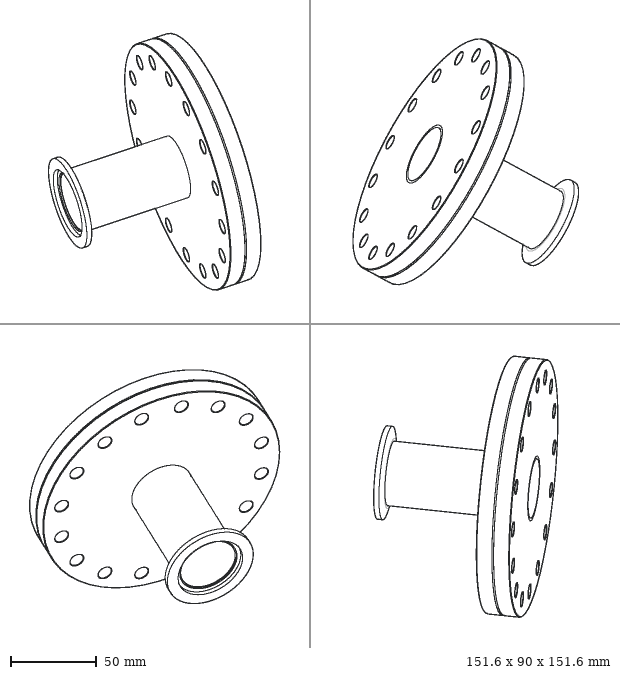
import cadquery as cq

flange_diameter = 151.6
flange_thickness = 19.9
rim_chamfer = 0.5
groove_width = 1.0
groove_depth = 0.2

bolt_count = 16
bolt_circle_diameter = 130.2
bolt_hole_diameter = 8.3
bolt_hole_chamfer = 0.3

tube_outer_diameter = 38.0
tube_inner_diameter = 34.9

overall_length = 90.0
clamp_diameter = 55.0
clamp_neck_diameter = 41.2
clamp_rim_thickness = 3.2
clamp_thickness = 5.2
clamp_bore_diameter = 36.4
clamp_recess_diameter = 41.2
clamp_recess_depth = 2.6
clamp_lip_thickness = 0.9

flange_front = -flange_thickness
clamp_front = -overall_length
clamp_back = clamp_front + clamp_thickness
recess_floor = clamp_front + clamp_recess_depth
tube_end = recess_floor + clamp_lip_thickness


def cylinder(diameter, y_start, y_end):
    """Solid cylinder on the Y axis between two Y positions."""
    length = y_start - y_end
    return cq.Workplane("XZ", origin=(0, y_start, 0)).circle(diameter / 2).extrude(length)


def make_bolt_hole_tools():
    """Cutters for the ring of bolt holes, widened by a chamfer at both flange faces."""
    radius = bolt_hole_diameter / 2
    mouth_radius = radius + bolt_hole_chamfer
    profile = [
        (0, 0),
        (mouth_radius, 0),
        (radius, -bolt_hole_chamfer),
        (radius, flange_front + bolt_hole_chamfer),
        (mouth_radius, flange_front),
        (0, flange_front),
    ]
    cutter = cq.Workplane("XY").polyline(profile).close().revolve(360, (0, 0, 0), (0, 1, 0)).val()
    cutter = cutter.translate(cq.Vector(bolt_circle_diameter / 2, 0, 0))
    pitch_angle = 360 / bolt_count
    cutters = []
    for index in range(bolt_count):
        angle = (index + 0.5) * pitch_angle
        cutters.append(cutter.rotate(cq.Vector(0, 0, 0), cq.Vector(0, 1, 0), angle))
    return cq.Workplane("XY").newObject(cutters).combine()


def make_main_flange():
    """Chamfered disc with a rim groove, a bolt circle and a through hole for the tube."""
    disc = cylinder(flange_diameter, 0, flange_front).edges().chamfer(rim_chamfer)

    groove_start = -(flange_thickness - groove_width) / 2
    groove_end = groove_start - groove_width
    groove_floor_diameter = flange_diameter - 2 * groove_depth
    groove_core = cylinder(groove_floor_diameter, groove_start, groove_end)
    groove_ring = cylinder(flange_diameter, groove_start, groove_end).cut(groove_core)

    bolt_holes = make_bolt_hole_tools()
    drilled = disc.cut(groove_ring).cut(bolt_holes)
    return drilled.cut(cylinder(tube_outer_diameter, 0, flange_front))


def make_tube():
    """Straight tube from the main flange's back face to the lip inside the clamp flange."""
    outside = cylinder(tube_outer_diameter, 0, tube_end)
    return outside.cut(cylinder(tube_inner_diameter, 0, tube_end))


def make_clamp_flange():
    """Flange with a tapered back: a socket behind for the tube, a thin lip and a recess in front."""
    rim_back = clamp_front + clamp_rim_thickness
    profile = [
        (tube_outer_diameter / 2, clamp_back),
        (clamp_neck_diameter / 2, clamp_back),
        (clamp_diameter / 2, rim_back),
        (clamp_diameter / 2, clamp_front),
        (clamp_recess_diameter / 2, clamp_front),
        (clamp_recess_diameter / 2, recess_floor),
        (clamp_bore_diameter / 2, recess_floor),
        (clamp_bore_diameter / 2, tube_end),
        (tube_outer_diameter / 2, tube_end),
    ]
    return cq.Workplane("XY").polyline(profile).close().revolve(360, (0, 0, 0), (0, 1, 0))


main_flange = make_main_flange()
tube = make_tube()
clamp_flange = make_clamp_flange()

result = cq.Compound.makeCompound([main_flange.val(), tube.val(), clamp_flange.val()])